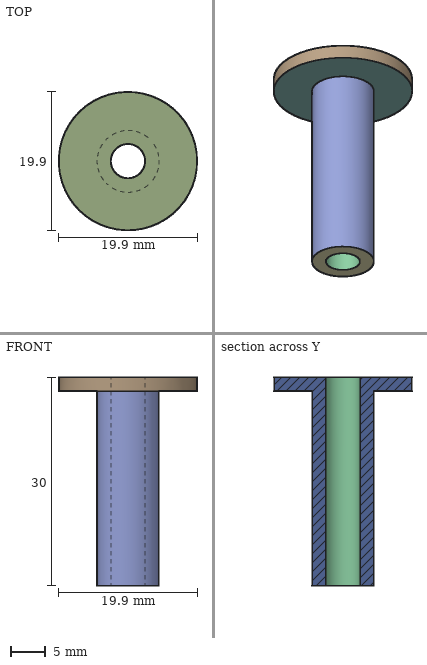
import cadquery as cq

total_height = 30
flange_diameter = 19.92
flange_thickness = 2.0
shank_diameter = 8.9
bore_diameter = 4.9

shank_length = total_height - flange_thickness

shank = cq.Workplane("XY").circle(shank_diameter / 2).extrude(shank_length)

flange = (
    cq.Workplane("XY")
    .workplane(offset=shank_length)
    .circle(flange_diameter / 2)
    .extrude(flange_thickness)
)

bore = cq.Workplane("XY").circle(bore_diameter / 2).extrude(total_height)

result = shank.union(flange).cut(bore)